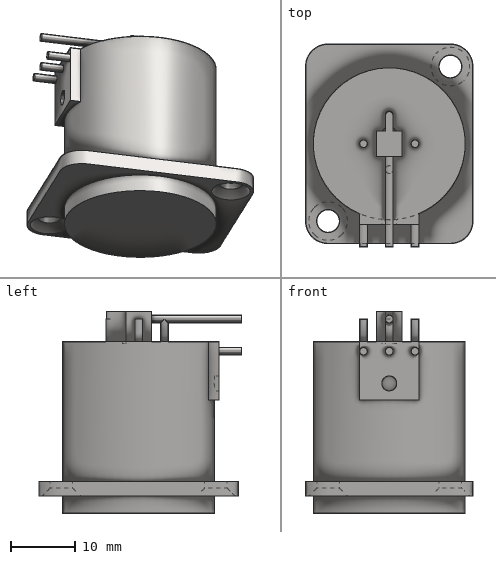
import cadquery as cq

flange_width = 26.0
flange_length = 31.0
flange_thickness = 2.3
flange_bottom = 2.7
flange_corner_radius = 3.5
mount_hole_diameter = 3.5
mount_hole_inset = 3.5
countersink_diameter = 6.0
countersink_angle = 90.0

body_diameter = 23.6
body_height = 26.7

pin_diameter = 1.2
pin_radius = pin_diameter / 2
pin_spread = 4.0
pin_rise = 3.5
pin_top = body_height + pin_rise
pin_tip_y = -16.0

panel_width = 2 * pin_spread + pin_diameter
panel_height = 9.1
panel_y = -12.5
panel_hole_diameter = 2.3
panel_hole_drop = 6.5
terminal_drop = 1.5

block_size = 4.0
block_height = 4.7
fin_end_center_y = 4.4
rear_pin_y = 4.5

relief_leg = 0.5
relief_depth = 0.3


def upright_pin(x, y):
    """Vertical pin rising from the top of the housing."""
    return cq.Workplane("XY", origin=(x, y, body_height)).circle(pin_radius).extrude(pin_rise)


def rearward_pin(x, z, root_y):
    """Horizontal pin running from root_y toward -Y to the common tip plane."""
    return cq.Workplane("XZ", origin=(x, root_y, z)).circle(pin_radius).extrude(root_y - pin_tip_y)


def make_flange():
    """Rounded plate with two diagonal holes, countersunk from its underside."""
    hole_x = flange_width / 2 - mount_hole_inset
    hole_y = flange_length / 2 - mount_hole_inset
    return (
        cq.Workplane("XY", origin=(0, 0, flange_bottom))
        .rect(flange_width, flange_length)
        .extrude(flange_thickness)
        .edges("|Z")
        .fillet(flange_corner_radius)
        .faces("<Z")
        .workplane(origin=(0, 0, 0))
        .pushPoints([(hole_x, -hole_y), (-hole_x, hole_y)])
        .cskHole(mount_hole_diameter, countersink_diameter, countersink_angle)
    )


def make_panel():
    """Panel reaching in to the housing axis, with a round opening through it."""
    panel = cq.Workplane("XY").box(panel_width, -panel_y, panel_height, centered=(True, False, False))
    panel = panel.translate((0, panel_y, body_height - panel_height))
    opening = (
        cq.Workplane("XZ", origin=(0, 0, body_height - panel_hole_drop))
        .circle(panel_hole_diameter / 2)
        .extrude(-panel_y)
    )
    return panel.cut(opening)


def make_key():
    base = cq.Workplane("XY", origin=(0, 0, body_height))
    block = base.rect(block_size, block_size).extrude(block_height)
    fin = base.center(0, fin_end_center_y / 2).rect(pin_diameter, fin_end_center_y).extrude(block_height)
    fin_end = base.center(0, fin_end_center_y).circle(pin_radius).extrude(block_height)
    return block.union(fin).union(fin_end)


def corner_relief(side):
    """Triangular pocket in the housing top; side is +1 or -1 along X."""
    corner_x = side * pin_radius
    corner_y = block_size / 2
    return (
        cq.Workplane("XY", origin=(0, 0, body_height))
        .moveTo(corner_x, corner_y)
        .lineTo(corner_x + side * relief_leg, corner_y)
        .lineTo(corner_x, corner_y + relief_leg)
        .close()
        .extrude(-relief_depth)
    )


result = make_panel()
result = result.union(cq.Workplane("XY").circle(body_diameter / 2).extrude(body_height))
result = result.union(make_flange())
for relief_side in (-1, 1):
    result = result.cut(corner_relief(relief_side))
result = result.union(make_key())

for pin_x, pin_y in [(-pin_spread, 0), (pin_spread, 0), (0, -pin_spread), (0, rear_pin_y)]:
    result = result.union(upright_pin(pin_x, pin_y))

result = result.union(rearward_pin(0, pin_top, -block_size / 2))
for terminal_x in (-pin_spread, 0, pin_spread):
    result = result.union(rearward_pin(terminal_x, body_height - terminal_drop, panel_y))